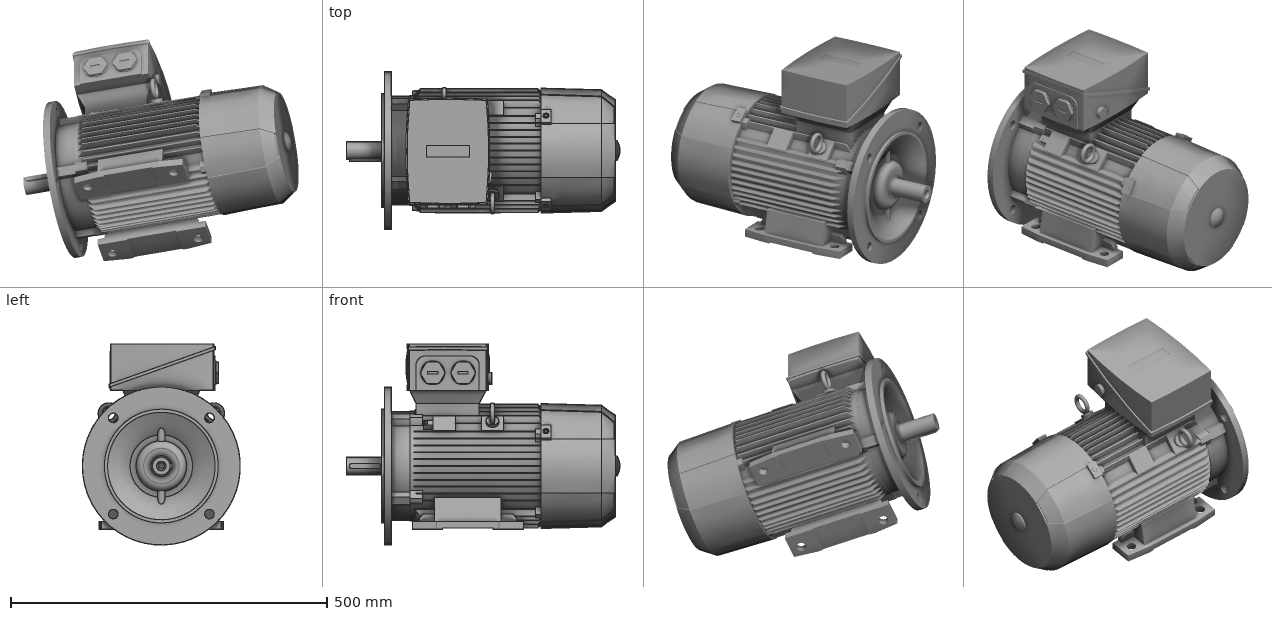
import cadquery as cq
import math


shaft_radius = 14.0
shaft_length = 60.0
key_width = 8.0
key_length = 50.0
key_outer_end = -shaft_length + 4.5
key_height = 17.0
seal_radius = 16.5
seal_thickness = 2.0
center_hole_radius = 5.0
center_hole_mouth = 7.5
center_hole_depth = 22.0

flange_radius = 125.0
flange_thickness = 11.0
flange_hole_circle = 107.5
flange_hole_diameter = 15.0
spigot_radius = 90.0
spigot_height = 5.0
shield_radius = 86.0
shield_end = 40.5
bowl_rim_radius = 85.0
bowl_floor_radius = 49.4
bowl_floor = 15.0
hub_base_radius = 40.0
hub_face_radius = 28.0
hub_face = 2.0
hub_rib_radius = 6.0
hub_rib_inner = 35.0
hub_rib_outer = 62.0
lug_root = 60.0
lug_outline = [(-41, lug_root), (-41, 75.5), (-49, 82), (-61, 74), (-58, 63.5), (-58, lug_root)]

stator_end = 247.5
barrel_radius = 87.0
fin_start = 47.0
fin_tip = 98.0
fin_flat = 22.0
fin_corner = 56.0
fin_corner_tip = 78.5
fin_thickness = 1.5
fin_pitch = 10.9
fins_each_way = 5
fin_front_slope = 10.0
fin_rear_slope = 5.0
front_pad_end = 60.0
front_pad_outline = [(-38, lug_root), (-38, 78), (-51, 82), (-58.5, 77), (-58.5, lug_root)]
rear_lug_start = 239.0
corner_pad_inner = 55.2
corner_pad_ledge = 56.2
corner_pad_reach = 80.3
corner_pad_length = 35.0
corner_pad_distance = (corner_pad_ledge + corner_pad_reach) / math.sqrt(2)
front_corner_pad_x = 94.5
rear_corner_pad_x = 170.8
earth_block_length = 15.0
earth_block_width = 10.0
earth_block_root = 70.0
earth_block_distance = 96.5
earth_screw_radius = 2.8
earth_screw_height = 1.5
earth_screw_inset = 3.5
pedestal_x = 99.9
pedestal_half_x = 50.0
pedestal_top = 98.8
pedestal_half_width = 51.5
pedestal_root = 60.0

foot_bottom = -100.0
foot_thickness = 12.5
foot_center_x = 132.0
foot_length = 176.0
foot_inner = 55.0
foot_end_outer = 94.3
foot_outer = 98.5
foot_straight_length = 99.0
foot_relief_length = 80.0
foot_relief_depth = 2.0
foot_hole_diameter = 15.0
foot_hole_spacing_x = 140.0
foot_hole_y = 80.0
pillar_length = 105.0
pillar_top = -49.5
pillar_top_outer = 84.5
pillar_base_outer = 91.0
foot_web_length = 154.0
foot_web_thickness = 10.0
foot_web_top = -75.5
foot_web_round = 10.0

cowl_radius = 98.8
cowl_shoulder = 343.0
cowl_shoulder_radius = 96.2
cowl_end = 365.3
cowl_end_radius = 80.6
cowl_recess = 1.2
cowl_recess_end = 362.7
cowl_recess_start = 42.5
cowl_cap_radius = 16.0
cowl_cap_rim = 2.2
motor_end = 372.5
tab_length = 15.8
tab_angle = 34.3
tab_distance = 103.0
tab_width = 25.0
tab_offset = -3.8
tab_root = 85.0
tab_screw_radius = 4.5
tab_screw_height = 1.0
tab_socket_radius = 2.5

box_center_x = 100.4
box_center_y = -1.3
box_half_x = 60.4
box_half_y = 80.7
box_bulge_x = 4.0
box_bulge_y = 1.5
box_bottom = 119.6
box_top = 193.0
seam_overhang = 2.0
seam_height = 5.0
seam_y = 84.0
seam_low = 126.5
seam_high = 186.0
neck_top_half_y = 61.0
nameplate_length = 68.0
nameplate_width = 18.4
nameplate_depth = 0.5
entry_plate_top = 174.0
entry_plate_round = 15.0
entry_plate_face = -84.8
plug_spacing = 48.1
plug_shift = 0.5
plug_z = 147.4
plug_flats = 34.5
plug_corners = 38.5
plug_face = -90.8
plug_collar_thickness = 1.5
plug_collar_diameter = 37.7
plug_slot_length = 16.0
plug_slot_width = 4.4
plug_slot_depth = 1.5
side_plug_y = -43.0
side_plug_z = 138.5
side_plug_radius = 9.5
side_plug_end = 169.8

eye_ring_radius = 13.4
eye_wire_radius = 3.6
eye_collar_radius = 10.0
eye_collar_height = 5.0
eye_center_distance = 117.4


def x_cylinder(radius, start, end):
    return cq.Workplane("YZ", origin=(start, 0, 0)).circle(radius).extrude(end - start)


def span_box(x_span, y_span, z_span):
    """Box between two limits on each axis."""
    sizes = [high - low for low, high in (x_span, y_span, z_span)]
    return cq.Workplane("XY").box(*sizes, centered=False).translate((x_span[0], y_span[0], z_span[0]))


def x_prism(outline, start, end):
    """Closed (Y, Z) outline extruded along X."""
    return cq.Workplane("YZ", origin=(start, 0, 0)).polyline(outline).close().extrude(end - start)


def turned(profile):
    """Solid of revolution about X from a closed (x, radius) profile."""
    return profile.close().revolve(360, (0, 0, 0), (1, 0, 0))


def about_shaft(body, angle):
    """Turn a body about the shaft; positive angles take +Y towards +Z."""
    return body.rotate((0, 0, 0), (1, 0, 0), angle)


def radial_block(start, end, root, distance, width, angle, offset=0.0):
    """Block reaching out to a flat face at the given distance, turned to the given angle."""
    half = width / 2
    block = span_box((start, end), (root, distance), (offset - half, offset + half))
    return about_shaft(block, angle)


def radial_cylinder(x, radius, start, end, angle):
    """Cylinder whose axis points straight out from the shaft."""
    pin = cq.Workplane("XZ", origin=(x, start, 0)).circle(radius).extrude(-(end - start))
    return about_shaft(pin, angle)


quarter_turns = [0, 90, 180, 270]


def build_shaft():
    bar = x_cylinder(shaft_radius, -shaft_length, shield_end)
    seal = x_cylinder(seal_radius, hub_face - seal_thickness, hub_face)
    key = (
        cq.Workplane("XZ")
        .center(key_outer_end + key_length / 2, 0)
        .slot2D(key_length, key_width)
        .extrude(key_height)
    )
    cone_length = center_hole_mouth - center_hole_radius
    hole = turned(
        cq.Workplane("XY")
        .moveTo(-shaft_length, 0)
        .lineTo(-shaft_length, center_hole_mouth)
        .lineTo(-shaft_length + cone_length, center_hole_radius)
        .lineTo(-shaft_length + center_hole_depth, center_hole_radius)
        .lineTo(-shaft_length + center_hole_depth, 0)
    )
    return bar.union(seal).union(key).cut(hole)


def build_end_shield():
    hub_round = hub_base_radius - hub_face_radius
    arc_share = math.sqrt(0.5)
    hub_arc_middle = (
        hub_face + (1 - arc_share) * (bowl_floor - hub_face),
        hub_face_radius + arc_share * hub_round,
    )
    shield = turned(
        cq.Workplane("XY")
        .moveTo(hub_face, shaft_radius)
        .lineTo(hub_face, hub_face_radius)
        .threePointArc(hub_arc_middle, (bowl_floor, hub_base_radius))
        .lineTo(bowl_floor, bowl_floor_radius)
        .lineTo(-spigot_height, bowl_rim_radius)
        .lineTo(-spigot_height, spigot_radius)
        .lineTo(0, spigot_radius)
        .lineTo(0, flange_radius)
        .lineTo(flange_thickness, flange_radius)
        .lineTo(flange_thickness, shield_radius)
        .lineTo(shield_end, shield_radius)
        .lineTo(shield_end, shaft_radius)
    )
    for angle in (90, 270):
        shield = shield.union(
            radial_cylinder(bowl_floor, hub_rib_radius, hub_rib_inner, hub_rib_outer, angle)
        )
    for turn in quarter_turns:
        lug = x_prism(lug_outline, flange_thickness, shield_end)
        shield = shield.union(about_shaft(lug, turn))
    for turn in quarter_turns:
        hole = about_shaft(
            x_cylinder(flange_hole_diameter / 2, 0, flange_thickness).translate((0, flange_hole_circle, 0)),
            45 + turn,
        )
        shield = shield.cut(hole)
    return shield


def fin_envelope():
    """Space the fin tips fill, sloping down to the barrel at both ends."""
    corners = []
    for turn in quarter_turns:
        sine = round(math.sin(math.radians(turn)))
        cosine = round(math.cos(math.radians(turn)))
        for y, z in (
            (fin_tip, -fin_flat), (fin_tip, fin_flat),
            (fin_corner_tip, fin_corner), (fin_corner, fin_corner_tip),
        ):
            corners.append((y * cosine - z * sine, y * sine + z * cosine))
    prism = x_prism(corners, fin_start, stator_end)
    sloped_ends = turned(
        cq.Workplane("XY")
        .moveTo(fin_start, 0)
        .lineTo(fin_start, barrel_radius)
        .lineTo(fin_start + fin_front_slope, fin_tip)
        .lineTo(fin_start + fin_front_slope, fin_tip + fin_flat)
        .lineTo(stator_end - fin_rear_slope, fin_tip + fin_flat)
        .lineTo(stator_end - fin_rear_slope, fin_tip)
        .lineTo(stator_end, fin_tip - fin_rear_slope)
        .lineTo(stator_end, 0)
    )
    return prism.intersect(sloped_ends)


def build_fins():
    half = fin_thickness / 2
    along = (fin_start, stator_end)
    across = (-fin_tip, fin_tip)
    fins = None
    for index in range(-fins_each_way, fins_each_way + 1):
        place = (index * fin_pitch - half, index * fin_pitch + half)
        pair = span_box(along, across, place).union(span_box(along, place, across))
        fins = pair if fins is None else fins.union(pair)
    return fins.intersect(fin_envelope())


def build_foot():
    """Foot on the -Y side: plate, pillar and web."""
    plate_top = foot_bottom + foot_thickness
    half_length = foot_length / 2
    half_straight = foot_straight_length / 2
    plate = (
        cq.Workplane("XY", origin=(foot_center_x, 0, foot_bottom))
        .polyline([
            (-half_length, -foot_inner),
            (-half_length, -foot_end_outer),
            (-half_straight, -foot_outer),
            (half_straight, -foot_outer),
            (half_length, -foot_end_outer),
            (half_length, -foot_inner),
        ])
        .close()
        .extrude(foot_thickness)
    )
    holes = (
        cq.Workplane("XY", origin=(foot_center_x, -foot_hole_y, foot_bottom))
        .rarray(foot_hole_spacing_x, 1, 2, 1)
        .circle(foot_hole_diameter / 2)
        .extrude(foot_thickness)
    )
    relief_x = (foot_center_x - foot_relief_length / 2, foot_center_x + foot_relief_length / 2)
    relief = span_box(
        relief_x, (-foot_outer, -foot_inner), (foot_bottom, foot_bottom + foot_relief_depth)
    )
    pillar_outline = [
        (-foot_inner, plate_top),
        (-pillar_base_outer, plate_top),
        (-pillar_top_outer, pillar_top),
        (-foot_inner, pillar_top),
    ]
    pillar = x_prism(
        pillar_outline, foot_center_x - pillar_length / 2, foot_center_x + pillar_length / 2
    )
    web_x = (foot_center_x - foot_web_length / 2, foot_center_x + foot_web_length / 2)
    web = span_box(
        web_x, (-foot_inner - foot_web_thickness, -foot_inner), (plate_top, foot_web_top)
    )
    web = web.edges("|Y and >Z").fillet(foot_web_round)
    return plate.cut(holes).cut(relief).union(pillar).union(web)


def build_corner_pads():
    """Pads for the lifting eyes on both upper corners, each with a flat face at 45 degrees."""
    outline = [
        (corner_pad_inner, corner_pad_inner),
        (corner_pad_reach, corner_pad_inner),
        (corner_pad_reach, corner_pad_ledge),
        (corner_pad_ledge, corner_pad_reach),
        (corner_pad_inner, corner_pad_reach),
    ]
    half_length = corner_pad_length / 2
    front_pad = x_prism(outline, front_corner_pad_x - half_length, front_corner_pad_x + half_length)
    rear_pad = x_prism(outline, rear_corner_pad_x - half_length, rear_corner_pad_x + half_length)
    pads = front_pad.union(rear_pad)
    return pads.union(pads.mirror("XZ"))


def build_earth_terminal():
    end = front_corner_pad_x - corner_pad_length / 2
    start = end - earth_block_length
    block = radial_block(
        start, end, earth_block_root, earth_block_distance, earth_block_width, 135
    )
    screw = radial_cylinder(
        start + earth_screw_inset, earth_screw_radius, earth_block_distance,
        earth_block_distance + earth_screw_height, 135,
    )
    return block.union(screw)


def build_stator():
    rear_lug_outline = [(-z, -y) for y, z in front_pad_outline]
    stator = x_cylinder(barrel_radius, shield_end, stator_end)
    stator = stator.union(build_fins())
    for turn in quarter_turns:
        front_pad = x_prism(front_pad_outline, shield_end, front_pad_end)
        rear_lug = x_prism(rear_lug_outline, rear_lug_start, stator_end)
        stator = stator.union(about_shaft(front_pad, turn)).union(about_shaft(rear_lug, turn))
    pedestal = span_box(
        (pedestal_x - pedestal_half_x, pedestal_x + pedestal_half_x),
        (-pedestal_half_width, pedestal_half_width),
        (pedestal_root, pedestal_top),
    )
    stator = stator.union(pedestal).union(build_corner_pads()).union(build_earth_terminal())
    foot = build_foot()
    return stator.union(foot).union(foot.mirror("XZ"))


def cowl_profile(shrink, end):
    """Turned cowl shape, held in by the given amount and cut off at the given end."""
    slope = (cowl_shoulder_radius - cowl_end_radius) / (cowl_end - cowl_shoulder)
    end_radius = cowl_shoulder_radius - slope * (end - cowl_shoulder)
    return turned(
        cq.Workplane("XY")
        .moveTo(stator_end, 0)
        .lineTo(stator_end, cowl_radius - shrink)
        .lineTo(cowl_shoulder, cowl_shoulder_radius - shrink)
        .lineTo(end, end_radius - shrink)
        .lineTo(end, 0)
    )


def build_cowl():
    skin = cowl_profile(0, cowl_end).cut(cowl_profile(cowl_recess, cowl_recess_end))
    rim_reach = cowl_end_radius - cowl_recess
    skin = skin.cut(x_cylinder(rim_reach, cowl_recess_end, cowl_end))
    corner = span_box(
        (stator_end, cowl_end), (cowl_recess_start, cowl_radius), (cowl_recess_start, cowl_radius)
    )
    cowl = cowl_profile(0, cowl_end)
    for turn in quarter_turns:
        cowl = cowl.cut(skin.intersect(about_shaft(corner, turn)))

    rim_end = cowl_end + cowl_cap_rim
    dome_height = motor_end - rim_end
    dome_radius = (cowl_cap_radius ** 2 + dome_height ** 2) / (2 * dome_height)
    dome_center = motor_end - dome_radius
    middle_radius = cowl_cap_radius / 2
    dome_middle = (dome_center + math.sqrt(dome_radius ** 2 - middle_radius ** 2), middle_radius)
    cap = turned(
        cq.Workplane("XY")
        .moveTo(cowl_end, 0)
        .lineTo(cowl_end, cowl_cap_radius)
        .lineTo(rim_end, cowl_cap_radius)
        .threePointArc(dome_middle, (motor_end, 0))
    )
    cowl = cowl.union(cap)

    for angle in (180 - tab_angle, 90 - tab_angle):
        cowl = cowl.union(build_cowl_tab(angle))
    return cowl


def build_cowl_tab(angle):
    """Screw tab at the cowl's front edge."""
    tab = radial_block(
        stator_end, stator_end + tab_length, tab_root, tab_distance, tab_width, 0, -tab_offset
    )
    screw_x = stator_end + tab_length / 2
    screw_top = tab_distance + tab_screw_height
    screw = radial_cylinder(screw_x, tab_screw_radius, tab_distance, screw_top, 0)
    socket = radial_cylinder(screw_x, tab_socket_radius, tab_distance, screw_top, 0)
    tab = tab.union(screw.cut(socket).translate((0, 0, -tab_offset)))
    return about_shaft(tab, angle)


def box_outline(bottom, grow):
    """Terminal box plan: a rectangle with four gently bulging sides."""
    x = box_half_x + grow
    y = box_half_y + grow
    return (
        cq.Workplane("XY", origin=(box_center_x, box_center_y, bottom))
        .moveTo(-x, -y)
        .threePointArc((0, -y - box_bulge_y), (x, -y))
        .threePointArc((x + box_bulge_x, 0), (x, y))
        .threePointArc((0, y + box_bulge_y), (-x, y))
        .threePointArc((-x - box_bulge_x, 0), (-x, -y))
        .close()
    )


def build_seam():
    """Sloping rim where the lid closes on the box."""
    column = box_outline(box_bottom, seam_overhang).extrude(box_top - box_bottom)
    half_height = seam_height / 2
    rise = (seam_high - seam_low) / (2 * seam_y)
    reach = seam_y + box_bulge_y + seam_overhang
    middle = (seam_high + seam_low) / 2
    slab = (
        cq.Workplane("YZ")
        .polyline([
            (reach, middle - rise * reach - half_height),
            (-reach, middle + rise * reach - half_height),
            (-reach, middle + rise * reach + half_height),
            (reach, middle - rise * reach + half_height),
        ])
        .close()
        .extrude(2 * box_center_x)
    )
    return column.intersect(slab)


def build_plug(x):
    """Hexagonal screw plug with a slot, closing one cable entry."""
    collar = (
        cq.Workplane("XZ", origin=(x, entry_plate_face, plug_z))
        .circle(plug_collar_diameter / 2)
        .extrude(plug_collar_thickness)
    )
    head_base = cq.Workplane("XZ", origin=(x, entry_plate_face - plug_collar_thickness, plug_z))
    head_height = entry_plate_face - plug_collar_thickness - plug_face
    head = head_base.polygon(6, plug_flats / math.cos(math.radians(30))).extrude(head_height)
    head = head.intersect(head_base.circle(plug_corners / 2).extrude(head_height))
    slot = (
        cq.Workplane("XZ", origin=(x, plug_face + plug_slot_depth, plug_z))
        .rect(plug_slot_length, plug_slot_width)
        .extrude(plug_slot_depth)
    )
    return collar.union(head).cut(slot)


def build_terminal_box():
    box = box_outline(box_bottom, 0).extrude(box_top - box_bottom).union(build_seam())
    neck = (
        cq.Workplane("XY", origin=(pedestal_x, 0, pedestal_top))
        .rect(2 * pedestal_half_x, 2 * pedestal_half_width)
        .workplane(offset=box_bottom - pedestal_top)
        .center(box_center_x - pedestal_x, 0)
        .rect(2 * box_half_x, 2 * neck_top_half_y)
        .loft()
    )
    entry_plate = span_box(
        (pedestal_x - pedestal_half_x, pedestal_x + pedestal_half_x),
        (entry_plate_face, box_center_y - box_half_y + box_bulge_y),
        (box_bottom, entry_plate_top),
    )
    entry_plate = entry_plate.edges("|Y and >Z").fillet(entry_plate_round)
    box = box.union(neck).union(entry_plate)
    for side in (-1, 1):
        box = box.union(build_plug(pedestal_x + plug_shift + side * plug_spacing / 2))
    side_plug = x_cylinder(side_plug_radius, box_center_x + box_half_x, side_plug_end)
    box = box.union(side_plug.translate((0, side_plug_y, side_plug_z)))
    nameplate = (
        cq.Workplane("XY", origin=(box_center_x, box_center_y, box_top))
        .rect(nameplate_length, nameplate_width)
        .extrude(-nameplate_depth)
    )
    return box.cut(nameplate)


def build_lifting_eye(x, angle):
    """Ring on a round collar, standing on a corner pad."""
    collar = radial_cylinder(
        x, eye_collar_radius, corner_pad_distance, corner_pad_distance + eye_collar_height, angle
    )
    ring = cq.Workplane("XY").add(
        cq.Solid.makeTorus(
            eye_ring_radius, eye_wire_radius, cq.Vector(x, eye_center_distance, 0), cq.Vector(1, 0, 0)
        )
    )
    stem = radial_cylinder(
        x, eye_wire_radius, corner_pad_distance, eye_center_distance - eye_ring_radius, angle
    )
    return collar.union(stem).union(about_shaft(ring, angle))


shaft = build_shaft()
end_shield = build_end_shield()
stator = build_stator()
cowl = build_cowl()
terminal_box = build_terminal_box()
lifting_eyes = [
    build_lifting_eye(x, angle)
    for x, angle in ((rear_corner_pad_x, 135), (front_corner_pad_x, 45))
]

result = cq.Compound.makeCompound([
    shaft.val(),
    end_shield.val(),
    stator.val(),
    cowl.val(),
    terminal_box.val(),
    *[eye.val() for eye in lifting_eyes],
])